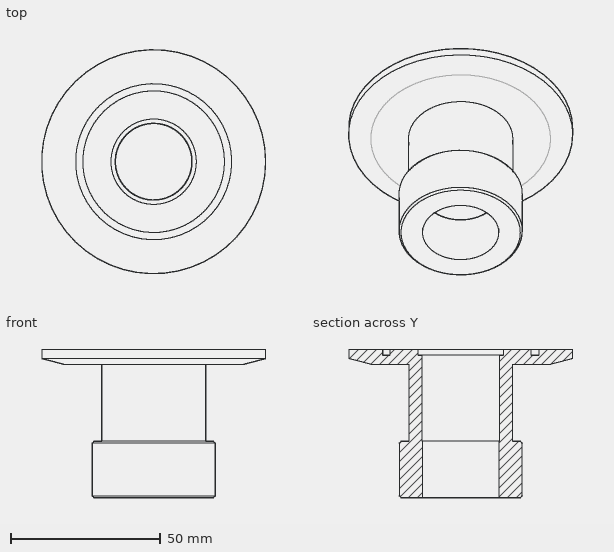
import cadquery as cq

total_height = 49.65
collar_height = 19.0
collar_chamfer = 0.7
rim_thickness = 3.1
cone_height = 1.95

flange_diameter = 75
cone_small_diameter = 60.15
neck_diameter = 34.95
collar_diameter = 41.25
bore_diameter = 25.8
lower_bore_diameter = 25.5
recess_diameter = 28.6
groove_outer_diameter = 52.2
groove_inner_diameter = 47.4

recess_depth = 1.9
groove_depth = 1.9


def cylinder(diameter, bottom, height):
    """Upright cylinder centred on the Z axis."""
    return cq.Workplane("XY").workplane(offset=bottom).circle(diameter / 2).extrude(height)


def flange():
    """Disc with a straight rim and a conical underside."""
    rim_bottom = total_height - rim_thickness
    cone_bottom = rim_bottom - cone_height
    profile = [
        (0, cone_bottom),
        (cone_small_diameter / 2, cone_bottom),
        (flange_diameter / 2, rim_bottom),
        (flange_diameter / 2, total_height),
        (0, total_height),
    ]
    return cq.Workplane("XZ").polyline(profile).close().revolve(360, (0, 0), (0, 1))


def groove():
    """Ring-shaped cutter for the groove in the top face."""
    bottom = total_height - groove_depth
    outer = cylinder(groove_outer_diameter, bottom, groove_depth)
    return outer.cut(cylinder(groove_inner_diameter, bottom, groove_depth))


collar = cylinder(collar_diameter, 0, collar_height).edges().chamfer(collar_chamfer)
neck = cylinder(neck_diameter, collar_height, total_height - collar_height)
lower_bore = cylinder(lower_bore_diameter, 0, collar_height)
bore = cylinder(bore_diameter, collar_height, total_height - collar_height)
recess = cylinder(recess_diameter, total_height - recess_depth, recess_depth)

body = collar.union(neck).union(flange())
result = body.cut(lower_bore).cut(bore).cut(recess).cut(groove())